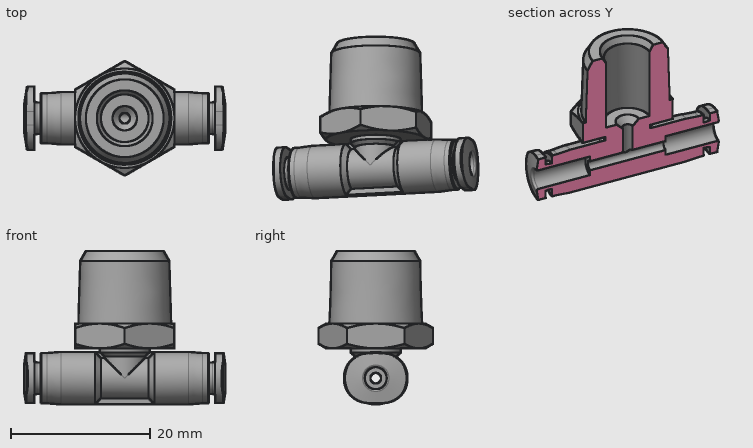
import cadquery as cq
import math


run_half_length = 14.5
body_radius = 3.8
waist_radius = 3.0
waist_half_length = 3.45
shoulder_outer_x = waist_half_length + (body_radius - waist_radius)
taper_start_x = 9.2
taper_end_x = 11.2
body_end_x = 12.1
body_end_radius = 3.63
body_end_chamfer = 0.15
rib_width = 1.5

sleeve_radius = 4.58 / 2
sleeve_flare = 0.1
sleeve_flare_length = 0.35
flange_inner_x = 13.0
flange_height = 7.2
flange_width = 9.2
flange_face_angle = 9.0
flange_rim_radius = 4.43
flange_rim_depth = 0.2
tube_bore_radius = 3.17 / 2
tube_mouth_rounding = 0.315
tube_mouth_radius = tube_bore_radius + tube_mouth_rounding
tube_stop_x = 6.0
passage_radius = 1.5 / 2

neck_radius = 3.6
neck_cone_top_z = 3.7
neck_cone_bottom_z = neck_cone_top_z - (neck_radius - waist_radius)
hex_across_flats = 14.3
hex_bottom_z = 4.3
hex_height = 3.55
hex_top_z = hex_bottom_z + hex_height
hex_chamfer_angle = 30.0
thread_base_radius = 6.7
thread_tip_radius = 6.43
thread_end_radius = 5.6
thread_chamfer_z = 16.85
stem_top_z = 18.3
stem_bore_radius = 6.86 / 2
stem_mouth_radius = 4.02
stem_mouth_depth = (stem_mouth_radius - stem_bore_radius) * math.sqrt(3)
stem_floor_z = 6.0
funnel_radius = 1.75
funnel_depth = funnel_radius - passage_radius


def turned_on_x(points):
    """Revolve (x, radius) points about the X axis."""
    return cq.Workplane("XZ").polyline(points).close().revolve(360, (0, 0, 0), (1, 0, 0))


def turned_on_z(points):
    """Revolve (radius, z) points about the Z axis."""
    return cq.Workplane("XZ").polyline(points).close().revolve(360, (0, 0, 0), (0, 1, 0))


def make_body():
    """Tube body with its waist and both release sleeves."""
    half_outline = [
        (waist_half_length, waist_radius),
        (shoulder_outer_x, body_radius),
        (taper_start_x, body_radius),
        (taper_end_x, body_end_radius),
        (body_end_x - body_end_chamfer, body_end_radius),
        (body_end_x, body_end_radius - body_end_chamfer),
        (body_end_x, sleeve_radius),
        (flange_inner_x - sleeve_flare_length, sleeve_radius),
        (flange_inner_x, sleeve_radius + sleeve_flare),
        (flange_inner_x, 0),
    ]
    mirrored_outline = [(-x, radius) for x, radius in reversed(half_outline)]
    return turned_on_x(mirrored_outline + half_outline)


def make_flange():
    """Oblong release flange on +X with a shallow conical outer face and a steeper rim."""
    outline = (
        cq.Workplane("YZ", origin=(flange_inner_x, 0, 0))
        .slot2D(flange_width, flange_height)
        .extrude(run_half_length - flange_inner_x)
    )
    edge_radius = flange_width / 2
    face_slope = math.tan(math.radians(flange_face_angle))
    rim_x = run_half_length - (flange_rim_radius - tube_mouth_radius) * face_slope
    envelope = turned_on_x([
        (flange_inner_x, 0),
        (flange_inner_x, edge_radius),
        (rim_x - flange_rim_depth, edge_radius),
        (rim_x, flange_rim_radius),
        (run_half_length, tube_mouth_radius),
        (run_half_length, 0),
    ])
    return outline.intersect(envelope)


def make_tube_socket():
    """Stepped cutter on +X for the round-mouthed tube socket and the passage behind it."""
    return (
        cq.Workplane("XZ")
        .lineTo(0, passage_radius)
        .lineTo(tube_stop_x, passage_radius)
        .lineTo(tube_stop_x, tube_bore_radius)
        .lineTo(run_half_length - tube_mouth_rounding, tube_bore_radius)
        .tangentArcPoint((run_half_length, tube_mouth_radius), relative=False)
        .lineTo(run_half_length, 0)
        .close()
        .revolve(360, (0, 0, 0), (1, 0, 0))
    )


def mirrored_in_x(half):
    """Join a +X half to its mirror image."""
    return half.union(half.mirror("YZ"))


def make_rib():
    """Thin web across the waist, level with the body above and below."""
    web = cq.Workplane("XY").box(2 * shoulder_outer_x, rib_width, 2 * body_radius)
    body_cylinder = cq.Workplane("YZ").circle(body_radius).extrude(shoulder_outer_x, both=True)
    return web.intersect(body_cylinder)


def make_neck():
    """Round neck joining the waist to the hexagon."""
    return turned_on_z([
        (0, 0),
        (waist_radius, 0),
        (waist_radius, neck_cone_bottom_z),
        (neck_radius, neck_cone_top_z),
        (neck_radius, hex_bottom_z),
        (0, hex_bottom_z),
    ])


def make_hexagon():
    """Hexagon with corners on Y, its corners chamfered above and below."""
    corner_radius = hex_across_flats / math.sqrt(3)
    prism = (
        cq.Workplane("XY", origin=(0, 0, hex_bottom_z))
        .polygon(6, 2 * corner_radius)
        .extrude(hex_height)
        .rotate((0, 0, 0), (0, 0, 1), 90)
    )
    flat_radius = hex_across_flats / 2
    corner_drop = (corner_radius - flat_radius) * math.tan(math.radians(hex_chamfer_angle))
    envelope = turned_on_z([
        (0, hex_bottom_z),
        (flat_radius, hex_bottom_z),
        (corner_radius, hex_bottom_z + corner_drop),
        (corner_radius, hex_top_z - corner_drop),
        (flat_radius, hex_top_z),
        (0, hex_top_z),
    ])
    return prism.intersect(envelope)


def make_thread():
    """Plain tapered thread body with a chamfered tip."""
    return turned_on_z([
        (0, hex_top_z),
        (thread_base_radius, hex_top_z),
        (thread_tip_radius, thread_chamfer_z),
        (thread_end_radius, stem_top_z),
        (0, stem_top_z),
    ])


def make_stem_bore():
    """Cutter for the chamfered stem bore, its funnel and the passage to the tube axis."""
    return turned_on_z([
        (0, 0),
        (passage_radius, 0),
        (passage_radius, stem_floor_z - funnel_depth),
        (funnel_radius, stem_floor_z),
        (stem_bore_radius, stem_floor_z),
        (stem_bore_radius, stem_top_z - stem_mouth_depth),
        (stem_mouth_radius, stem_top_z),
        (0, stem_top_z),
    ])


tube_run = make_body().union(mirrored_in_x(make_flange())).union(make_rib())
stem = make_neck().union(make_hexagon()).union(make_thread())
result = tube_run.union(stem).cut(mirrored_in_x(make_tube_socket())).cut(make_stem_bore())